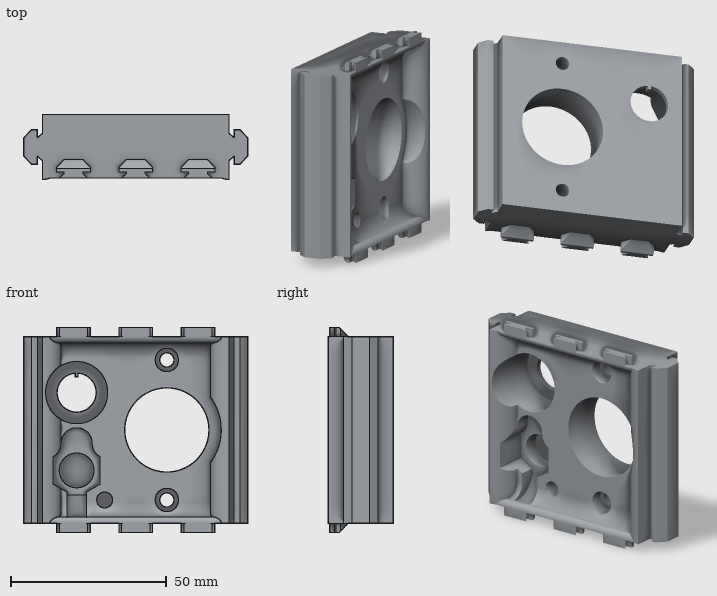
import cadquery as cq
import math

body_size = 60.0
thickness = 21.0
half = body_size / 2
front_y = -thickness / 2
back_y = thickness / 2

rail_reach = 36.05
rail_flat_half = 2.86
rail_half = 5.57
rail_shoulder_x = 33.55
rail_inner_x = 31.65
rail_neck_half = 3.0
rail_root_half = 4.4

tab_pitch = 20.0
tab_height = 3.0
rim_setback = 0.5
tab_front_y = front_y + rim_setback
tab_root_half = 4.5
tab_neck_half = 3.0
tab_neck_y = -8.5
tab_head_half = 5.4
tab_head_front_y = -8.0
tab_head_back_y = -6.55
tab_tip_y = -4.0
tab_slope_y = tab_tip_y - tab_height

floor_y = -3.5
pocket_half_x = 24.0
side_round = half - pocket_half_x
scoop_radius = 5.0
scoop_half_z = 28.1
lip_radius = 2.0
lip_y = tab_front_y + lip_radius

bore_x = 10.0
bore_diameter = 27.0
bore_relief_diameter = 35.0

screw_x = bore_x
screw_z = 22.5
screw_diameter = 4.5
screw_head_diameter = 7.5
screw_head_floor_y = 0.5

socket_x = -19.0
socket_z = 12.0
socket_diameter = 20.0
socket_hole_diameter = 12.5
socket_web = 2.0
socket_floor_y = back_y - socket_web
key_width = 1.0
key_tip_radius = 5.1

pin_x = -10.0
pin_z = -screw_z
pin_diameter = 5.1
pin_floor_y = 4.5

nut_x = socket_x
nut_z = -13.0
nut_flats = 15.15
hexagon_turn = 30
nut_floor_y = 1.8
nut_bore_diameter = 11.2
nut_bore_floor_y = 7.0
nut_entry_diameter = 10.0
nut_entry_z = -4.3
slot_width = 6.2
slot_top_z = -20.9
slot_top_y = 2.3
slot_ramp_end_z = -22.05
slot_arc_y = -6.3
slot_arc_z = -19.55
slot_arc_radius = 8.75


def extrude_along_z(outline, z_start, z_end):
    return cq.Workplane("XY").polyline(outline).close().extrude(z_end - z_start).translate((0, 0, z_start))


def extrude_along_y(sketch, y_start, y_end):
    """Solid between two Y levels from an outline drawn in X and Z."""
    return sketch.extrude(y_start - y_end).translate((0, y_start, 0))


def cylinder(x, z, diameter, y_start, y_end):
    sketch = cq.Workplane("XZ").center(x, z).circle(diameter / 2)
    return extrude_along_y(sketch, y_start, y_end)


def body_with_rails():
    body = cq.Workplane("XY").box(body_size, thickness, body_size)
    upper = [
        (half, rail_root_half),
        (rail_inner_x, rail_neck_half),
        (rail_inner_x, rail_half),
        (rail_shoulder_x, rail_half),
        (rail_reach, rail_flat_half),
    ]
    right = upper + [(x, -y) for x, y in reversed(upper)]
    left = [(-x, y) for x, y in right]
    for outline in (right, left):
        body = body.union(extrude_along_z(outline, -half, half))
    return body


def tab():
    """Tab standing on the +Z side at X = 0."""
    right = [
        (tab_root_half, tab_front_y),
        (tab_neck_half, tab_neck_y),
        (tab_neck_half, tab_head_front_y),
        (tab_head_half, tab_head_front_y),
        (tab_head_half, tab_head_back_y),
        (tab_neck_half, tab_tip_y),
    ]
    outline = right + [(-x, y) for x, y in reversed(right)]
    blank = extrude_along_z(outline, half, half + tab_height)
    slope = (
        cq.Workplane("YZ")
        .polyline([(tab_tip_y, half), (tab_tip_y, half + tab_height), (tab_slope_y, half + tab_height)])
        .close()
        .extrude(tab_head_half, both=True)
    )
    return blank.cut(slope)


def lips():
    """Round bars along X that form the rims of the two Z walls."""
    lip = cq.Workplane("YZ", origin=(-half, lip_y, half)).circle(lip_radius).extrude(body_size)
    return lip.union(lip.mirror("XY"))


def pocket():
    """Cavity whose X walls flare open and whose Z walls are scooped under a rounded lip."""
    diagonal = math.sqrt(0.5)
    round_y = front_y + side_round
    mid_x = half - side_round * diagonal
    mid_y = round_y - side_round * diagonal
    flared = (
        cq.Workplane("XY")
        .moveTo(-pocket_half_x, floor_y)
        .lineTo(pocket_half_x, floor_y)
        .lineTo(pocket_half_x, round_y)
        .threePointArc((mid_x, mid_y), (half, front_y))
        .lineTo(-half, front_y)
        .threePointArc((-mid_x, mid_y), (-pocket_half_x, round_y))
        .close()
        .extrude(body_size)
        .translate((0, 0, -half))
    )
    scoop_depth = floor_y - front_y
    scooped = (
        cq.Workplane("XY")
        .box(body_size, scoop_depth, 2 * scoop_half_z)
        .edges("|X and >Y")
        .fillet(scoop_radius)
        .translate((0, front_y + scoop_depth / 2, 0))
    )
    mouth_depth = lip_y - front_y
    mouth = cq.Workplane("XY").box(body_size, mouth_depth, body_size)
    mouth = mouth.translate((0, front_y + mouth_depth / 2, 0))
    return flared.intersect(scooped.union(mouth).cut(lips()))


def nut_pocket():
    """Hexagonal pocket with a round entry above it and a blind bore in its floor."""
    corner_radius = nut_flats / math.sqrt(3)
    hexagon = cq.Workplane("XZ").center(nut_x, nut_z).transformed(rotate=(0, 0, hexagon_turn))
    hexagon = hexagon.polygon(6, 2 * corner_radius)
    cavity = extrude_along_y(hexagon, front_y, nut_floor_y)

    radius = nut_entry_diameter / 2
    corner_x = nut_flats / 2
    corner_z = nut_entry_z - math.sqrt(radius**2 - (2 * radius - corner_x) ** 2)
    swing_angle = math.asin((nut_entry_z - corner_z) / radius) / 2
    swing_x = 2 * radius - radius * math.cos(swing_angle)
    swing_z = nut_entry_z - radius * math.sin(swing_angle)
    entry = (
        cq.Workplane("XZ", origin=(nut_x, 0, 0))
        .moveTo(-radius, nut_entry_z)
        .threePointArc((0, nut_entry_z + radius), (radius, nut_entry_z))
        .threePointArc((swing_x, swing_z), (corner_x, corner_z))
        .lineTo(corner_x, nut_z)
        .lineTo(-corner_x, nut_z)
        .lineTo(-corner_x, corner_z)
        .threePointArc((-swing_x, swing_z), (-radius, nut_entry_z))
        .close()
    )
    cavity = cavity.union(extrude_along_y(entry, front_y, nut_floor_y))
    return cavity.union(cylinder(nut_x, nut_z, nut_bore_diameter, front_y, nut_bore_floor_y))


def cable_slot():
    """Slot below the nut pocket: a small step, a short ramp, then a curve up to the lower lip."""
    ramp_end_y = slot_arc_y + math.sqrt(slot_arc_radius**2 - (slot_arc_z - slot_ramp_end_z) ** 2)
    slot_end_z = slot_arc_z - slot_arc_radius
    start_angle = math.atan2(ramp_end_y - slot_arc_y, slot_arc_z - slot_ramp_end_z)
    mid_y = slot_arc_y + slot_arc_radius * math.sin(start_angle / 2)
    mid_z = slot_arc_z - slot_arc_radius * math.cos(start_angle / 2)
    return (
        cq.Workplane("YZ", origin=(nut_x - slot_width / 2, 0, 0))
        .moveTo(lip_y, nut_z)
        .lineTo(nut_floor_y, nut_z)
        .lineTo(nut_floor_y, slot_top_z)
        .lineTo(slot_top_y, slot_top_z)
        .lineTo(ramp_end_y, slot_ramp_end_z)
        .threePointArc((mid_y, mid_z), (slot_arc_y, slot_end_z))
        .lineTo(lip_y, slot_end_z)
        .close()
        .extrude(slot_width)
        .cut(lips())
    )


def keyed_socket():
    """Flat-bottomed socket with a through hole that has a small key at its top."""
    hole_radius = socket_hole_diameter / 2
    hole = cylinder(socket_x, socket_z, socket_hole_diameter, front_y, back_y)
    key = (
        cq.Workplane("XY")
        .box(key_width, thickness, hole_radius, centered=(True, True, False))
        .translate((socket_x, 0, socket_z + key_tip_radius))
    )
    socket = cylinder(socket_x, socket_z, socket_diameter, front_y, socket_floor_y)
    return hole.cut(key).union(socket)


def screw_hole(z):
    hole = cylinder(screw_x, z, screw_diameter, front_y, back_y)
    return hole.union(cylinder(screw_x, z, screw_head_diameter, front_y, screw_head_floor_y))


def main_bore():
    bore = cylinder(bore_x, 0, bore_diameter, front_y, back_y)
    return bore.union(cylinder(bore_x, 0, bore_relief_diameter, front_y, floor_y))


result = body_with_rails()

for column in (-1, 0, 1):
    upper_tab = tab().translate((column * tab_pitch, 0, 0))
    result = result.union(upper_tab).union(upper_tab.mirror("XY"))

result = result.cut(pocket()).cut(main_bore()).cut(keyed_socket()).cut(nut_pocket()).cut(cable_slot())
result = result.cut(cylinder(pin_x, pin_z, pin_diameter, front_y, pin_floor_y))

for side in (-1, 1):
    result = result.cut(screw_hole(side * screw_z))